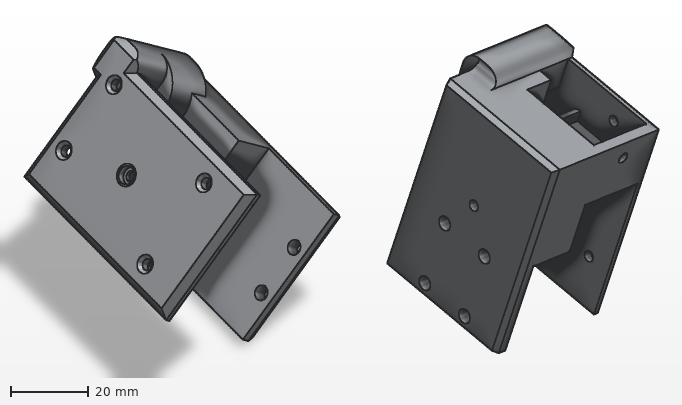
import cadquery as cq
import math

TILT = 45
LENGTH = 61.5
WIDTH = 41.6
HEIGHT = 41.6

PLATE = 3.5
FLANGE = 4.5
FLOOR_Z = 18.25
STEP_Z = 27.3
PLATE_Z = HEIGHT - PLATE
BODY_END = 33.3

TOP_BEVEL = 2.0
BASE_BEVEL = 0.9
BASE_BEVEL_HEIGHT = 2.0

WALL = 3.3
WALL_END = 17.6
WALL_START_DEPTH = 17.6

BARREL_LEFT = -3.0
BARREL_RIGHT = 9.4
BARREL_BACK = 4.5
BARREL_FRONT = -8.7
BARREL_Z = 12.0
FLAT_START = 1.6
FLAT_END = 4.25
SIDE_FLAT_BACK = -0.2
SIDE_FLAT_FRONT = -2.6
UNDERSIDE_RADIUS = -BARREL_LEFT

STEP_RADIUS = 10.7
STEP_FRONT = -13.0

SCREW_POINTS = [(7.0, 6.05), (47.35, 7.4), (6.45, 28.3), (47.35, 34.3)]
SCREW_DIAMETER = 3.0
SINK_DIAMETER = 5.0
SINK_ANGLE = 90
CENTER = (26.5, 20.95)
CENTER_BORE = 4.9
CENTER_BORE_DEPTH = 2.25
CENTER_RIM = 6.0
CENTER_RIM_DEPTH = 0.1
FLANGE_HOLE = 4.0
FLANGE_HOLE_X = (37.55, 57.55)
FLANGE_HOLE_DEPTH = (14.05, 29.1)
SIDE_HOLE_X = 5.4
SIDE_HOLE_Z = 28.05


def block(x0, x1, y0, y1, z0, z1):
    """Box between two opposite corners."""
    return cq.Workplane("XY").box(x1 - x0, y1 - y0, z1 - z0, centered=False).translate((x0, y0, z0))


def drill(x, depth, diameter, z0, z1):
    """Vertical cylinder at a distance from the rear edge."""
    return cq.Workplane("XY").workplane(offset=z0).center(x, -depth).circle(diameter / 2).extrude(z1 - z0)


def top_beveled(solid):
    """Bevel the four top edges of a box."""
    return solid.faces(">Z").chamfer(TOP_BEVEL)


def corner_middle(end, start, center_x, center_y):
    """Middle point of a rounded corner between two points about a center."""
    mid = math.sqrt(0.5)
    return (center_x + mid * (start[0] + end[0] - 2 * center_x),
            center_y + mid * (start[1] + end[1] - 2 * center_y))


def base():
    lower = block(0, LENGTH, -WIDTH, 0, 0, FLANGE)
    lower = lower.faces("<Z").edges().chamfer(BASE_BEVEL_HEIGHT, BASE_BEVEL)
    return lower.union(block(0, BODY_END, -WIDTH, 0, FLANGE, FLOOR_Z))


def walls():
    front = block(0, WALL_END, -WIDTH, WALL - WIDTH, FLOOR_Z, PLATE_Z)
    inner_x = WALL_END - WALL
    cross = block(inner_x, WALL_END, -WIDTH, -WALL_START_DEPTH, FLOOR_Z, PLATE_Z)
    lip = drill(inner_x, WALL_START_DEPTH, 2 * WALL, STEP_Z, PLATE_Z)
    lip = lip.intersect(block(0, LENGTH, -WALL_START_DEPTH, 0, STEP_Z, PLATE_Z))
    return front.union(cross).union(lip)


def barrel():
    left_front = (0, BARREL_FRONT)
    left_low = (BARREL_LEFT, SIDE_FLAT_FRONT)
    left_high = (BARREL_LEFT, SIDE_FLAT_BACK)
    back_left = (FLAT_START, BARREL_BACK)
    back_right = (FLAT_END, BARREL_BACK)
    right_back = (BARREL_RIGHT, BARREL_BACK - (BARREL_RIGHT - FLAT_END))
    underside_z = BARREL_Z - UNDERSIDE_RADIUS
    outline = (
        cq.Workplane("XY").workplane(offset=underside_z)
        .moveTo(*left_front)
        .lineTo(BARREL_RIGHT, BARREL_FRONT)
        .lineTo(*right_back)
        .threePointArc(corner_middle(right_back, back_right, FLAT_END, right_back[1]), back_right)
        .lineTo(*back_left)
        .threePointArc(corner_middle(back_left, left_high, FLAT_START, SIDE_FLAT_BACK), left_high)
        .lineTo(*left_low)
        .tangentArcPoint(left_front, relative=False)
        .close()
        .extrude(HEIGHT - underside_z)
    )
    envelope = block(BARREL_LEFT, BARREL_RIGHT, BARREL_FRONT, BARREL_BACK, BARREL_Z, HEIGHT)
    column = outline.intersect(top_beveled(envelope))
    hollow = (
        cq.Workplane("XZ").center(BARREL_LEFT, underside_z)
        .circle(UNDERSIDE_RADIUS).extrude(WIDTH)
    )
    support = block(BARREL_LEFT, 0, BARREL_FRONT, 0, underside_z, BARREL_Z)
    return column.union(outline.intersect(support.cut(hollow)))


def step():
    """Rounded block that fills the inner side of the barrel below the step level."""
    side = FLAT_END + STEP_RADIUS
    arc_end = (side, BARREL_BACK - STEP_RADIUS)
    arc_start = (FLAT_END, BARREL_BACK)
    rounded = (
        cq.Workplane("XY").workplane(offset=BARREL_Z)
        .moveTo(FLAT_START, BARREL_BACK)
        .lineTo(*arc_start)
        .threePointArc(corner_middle(arc_end, arc_start, FLAT_END, arc_end[1]), arc_end)
        .lineTo(side, STEP_FRONT)
        .lineTo(FLAT_START, STEP_FRONT)
        .close()
        .extrude(STEP_Z - BARREL_Z)
    )
    return rounded.union(block(0, FLAT_END, STEP_FRONT, SIDE_FLAT_FRONT, FLOOR_Z, STEP_Z))


def plate_holes(solid):
    sink_depth = (SINK_DIAMETER - SCREW_DIAMETER) / 2 / math.tan(math.radians(SINK_ANGLE / 2))
    cone = cq.Solid.makeCone(SCREW_DIAMETER / 2, SINK_DIAMETER / 2, sink_depth)
    for x, depth in SCREW_POINTS:
        solid = solid.cut(drill(x, depth, SCREW_DIAMETER, PLATE_Z, HEIGHT))
        solid = solid.cut(cq.Workplane(cone.translate(cq.Vector(x, -depth, HEIGHT - sink_depth))))
    return solid


def center_hole(solid):
    solid = solid.cut(drill(*CENTER, SCREW_DIAMETER, 0, HEIGHT))
    solid = solid.cut(drill(*CENTER, CENTER_BORE, HEIGHT - CENTER_BORE_DEPTH, HEIGHT))
    return solid.cut(drill(*CENTER, CENTER_RIM, HEIGHT - CENTER_RIM_DEPTH, HEIGHT))


def flange_holes(solid):
    for x in FLANGE_HOLE_X:
        for depth in FLANGE_HOLE_DEPTH:
            solid = solid.cut(drill(x, depth, FLANGE_HOLE, 0, FLANGE))
    return solid


def side_hole(solid):
    """Hole through the front wall."""
    hole = cq.Workplane("XZ").workplane(offset=WIDTH - WALL)
    hole = hole.center(SIDE_HOLE_X, SIDE_HOLE_Z).circle(SCREW_DIAMETER / 2).extrude(WALL)
    return solid.cut(hole)


plate = top_beveled(block(0, LENGTH, -WIDTH, 0, PLATE_Z, HEIGHT))
body = base().union(walls()).union(step()).union(barrel()).union(plate)
body = side_hole(flange_holes(center_hole(plate_holes(body))))
result = body.rotate((0, 0, 0), (1, 0, 0), TILT)